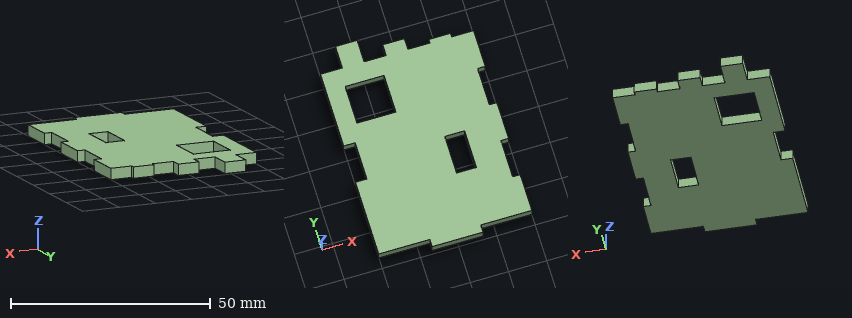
import cadquery as cq

BODY_WIDTH = 40.14
BODY_LENGTH = 50.23
THICKNESS = 3.0

REAR_STEP = BODY_WIDTH / 7
REAR_TAB_HEIGHTS = (6.0, 3.0, 1.0)

FRONT_STEP = BODY_WIDTH / 3
FRONT_TAB_HEIGHT = 2.0

SIDE_STEP = BODY_LENGTH / 5
LEFT_NOTCH_DEPTH = 3.0
LEFT_NOTCH_STEP = 2
RIGHT_NOTCH_DEPTH = 2.0
RIGHT_NOTCH_STEPS = (1, 3)

SQUARE_WINDOW_SIZE = 10.14
SQUARE_WINDOW_INSET = 5.0
SLOT_WINDOW_WIDTH = 5.14
SLOT_WINDOW_LENGTH = 10.14
SLOT_WINDOW_INSET = 25.0


def block(x, y, width, length):
    """Full-thickness block with its lower-left corner at (x, y)."""
    return cq.Workplane("XY").box(width, length, THICKNESS, centered=False).translate((x, y, 0))


def add_rear_tabs(panel):
    """Three tabs of decreasing height, from left to right."""
    for index, height in enumerate(REAR_TAB_HEIGHTS):
        x = (2 * index + 1) * REAR_STEP
        panel = panel.union(block(x, BODY_LENGTH, REAR_STEP, height))
    return panel


def add_front_tab(panel):
    """One tab in the middle of the front edge."""
    return panel.union(block(FRONT_STEP, -FRONT_TAB_HEIGHT, FRONT_STEP, FRONT_TAB_HEIGHT))


def cut_side_notches(panel):
    """One notch in the left edge and two in the right edge."""
    panel = panel.cut(block(0, LEFT_NOTCH_STEP * SIDE_STEP, LEFT_NOTCH_DEPTH, SIDE_STEP))
    for step in RIGHT_NOTCH_STEPS:
        x = BODY_WIDTH - RIGHT_NOTCH_DEPTH
        panel = panel.cut(block(x, step * SIDE_STEP, RIGHT_NOTCH_DEPTH, SIDE_STEP))
    return panel


def cut_window(panel, inset, width, length):
    """Through window whose left and rear sides lie `inset` from the body edges."""
    return panel.cut(block(inset, BODY_LENGTH - inset - length, width, length))


result = block(0, 0, BODY_WIDTH, BODY_LENGTH)
result = add_rear_tabs(result)
result = add_front_tab(result)
result = cut_side_notches(result)
result = cut_window(result, SQUARE_WINDOW_INSET, SQUARE_WINDOW_SIZE, SQUARE_WINDOW_SIZE)
result = cut_window(result, SLOT_WINDOW_INSET, SLOT_WINDOW_WIDTH, SLOT_WINDOW_LENGTH)